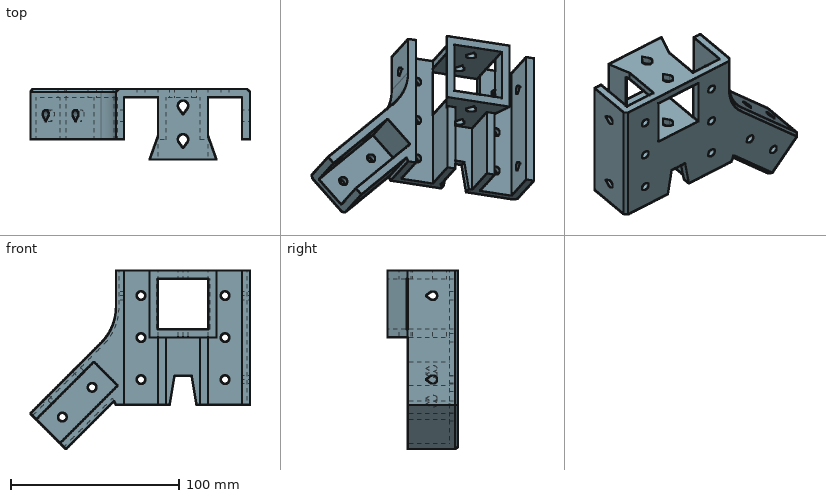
import cadquery as cq
import math

wall = 5.0
depth = 30.0
pitch = 25.0
screw_diameter = 5.0
back_chamfer = 1.8

block_width = 80.0
block_height = 80.0
half_block = block_width / 2

bore = 30.0
frame_size = bore + 2 * wall
half_frame = frame_size / 2
frame_bottom = block_height - frame_size
frame_depth = 42.0
flare_start = 28.0
window_depth = 30.6
frame_hole_diameter = 6.0
frame_hole_first = 10.0
frame_hole_pitch = 20.0

notch_top_width = 10.1
notch_bottom_width = 15.8
notch_height = 17.3

arm_width = 30.0
total_width = 130.9
arm_reach = total_width - half_block
blend_radius = 30.0
blend_start = 21.9
arm_angle = 45
arm_lower_length = 40.5
pocket_length = 48.6
arm_hole_first = 12.0
arm_side_hole_first = 13.0

side_hole_y = -depth / 2
side_hole_zs = (block_height - 15.0, 15.0)
tip_ratio = 1.7

diagonal = math.sqrt(0.5)
blend_center_x = -half_block - blend_radius
blend_z = block_height - blend_start


def blend_point(degrees):
    """Point on the concave blend, measured down from its vertical end."""
    angle = math.radians(degrees)
    return (
        blend_center_x + blend_radius * math.cos(angle),
        blend_z - blend_radius * math.sin(angle),
    )


blend_end = blend_point(arm_angle)
arm_tip = (-arm_reach, blend_end[1] - (blend_end[0] + arm_reach))


def arm_point(along, across):
    """XZ point measured up the arm and across it from its upper tip."""
    return (
        arm_tip[0] + (along + across) * diagonal,
        arm_tip[1] + (along - across) * diagonal,
    )


def xz_prism(points, length):
    """Extrude an XZ polygon from the back face toward -Y."""
    return cq.Workplane("XZ").polyline(points).close().extrude(length)


def box(x_min, x_max, y_min, y_max, z_min, z_max):
    size = (x_max - x_min, y_max - y_min, z_max - z_min)
    return cq.Workplane("XY").box(*size, centered=False).translate((x_min, y_min, z_min))


def teardrop(diameter, length):
    """Vertical hole cutter centred on the origin, pointed toward -Y."""
    radius = diameter / 2
    tip = tip_ratio * radius
    tangent_y = -radius / tip_ratio
    tangent_x = math.sqrt(radius ** 2 - tangent_y ** 2)
    return (
        cq.Workplane("XY", origin=(0, 0, -length / 2))
        .moveTo(-tangent_x, tangent_y)
        .threePointArc((0, radius), (tangent_x, tangent_y))
        .lineTo(0, -tip)
        .close()
        .extrude(length)
    )


def outer_body():
    """Solid silhouette with its long back edges chamfered."""
    body = (
        cq.Workplane("XZ")
        .moveTo(half_block, 0)
        .lineTo(half_block, block_height)
        .lineTo(-half_block, block_height)
        .lineTo(-half_block, blend_z)
        .threePointArc(blend_point(arm_angle / 2), blend_end)
        .lineTo(*arm_tip)
        .lineTo(*arm_point(0, arm_width))
        .lineTo(*arm_point(arm_lower_length, arm_width))
        .lineTo(-half_block, 0)
        .close()
        .extrude(depth)
    )
    edge_places = [
        (half_block, block_height / 2),
        (-half_block, (block_height + blend_z) / 2),
        blend_point(arm_angle / 2),
        arm_point(pocket_length / 2, 0),
        arm_point(arm_lower_length / 2, arm_width),
    ]
    edges = [
        body.edges(cq.selectors.NearestToPointSelector((x, 0, z))).val()
        for x, z in edge_places
    ]
    return body.newObject(edges).chamfer(back_chamfer)


def frame():
    """Block that flares outward at its free end."""
    neck = bore / 2
    flare = half_frame
    return (
        cq.Workplane("XY", origin=(0, 0, frame_bottom))
        .polyline([
            (-neck, 0), (neck, 0), (neck, -flare_start), (flare, -frame_depth),
            (-flare, -frame_depth), (-neck, -flare_start),
        ])
        .close()
        .extrude(frame_size)
    )


inner = half_block - wall
part = outer_body().cut(box(-inner, inner, -depth, -wall, 0, block_height))
pocket_corners = [
    arm_point(0, wall),
    arm_point(pocket_length, wall),
    arm_point(pocket_length, arm_width - wall),
    arm_point(0, arm_width - wall),
]
part = part.cut(xz_prism(pocket_corners, depth).translate((0, -wall, 0)))

for rib_x in (-bore / 2, bore / 2 - wall):
    part = part.union(box(rib_x, rib_x + wall, -depth, 0, 0, frame_bottom))

part = part.union(frame())
bore_bottom = frame_bottom + wall
part = part.cut(box(-bore / 2, bore / 2, -frame_depth, 0, bore_bottom, bore_bottom + bore))

part = part.cut(box(-half_frame, half_frame, -window_depth, -wall, bore_bottom, bore_bottom + bore))

part = part.cut(xz_prism([
    (-notch_bottom_width / 2, 0), (-notch_top_width / 2, notch_height),
    (notch_top_width / 2, notch_height), (notch_bottom_width / 2, 0),
], wall))

screw_places = [
    (side * pitch, block_height / 2 + row * pitch)
    for side in (-1, 1)
    for row in (-1, 0, 1)
]
screw_places += [arm_point(arm_hole_first + i * pitch, arm_width / 2) for i in range(2)]
part = part.cut(cq.Workplane("XZ").pushPoints(screw_places).circle(screw_diameter / 2).extrude(wall))

for i in range(2):
    hole_y = -frame_hole_first - i * frame_hole_pitch
    cutter = teardrop(frame_hole_diameter, frame_size)
    part = part.cut(cutter.translate((0, hole_y, frame_bottom + frame_size / 2)))

for side, hole_z in ((1, side_hole_zs[0]), (1, side_hole_zs[1]), (-1, side_hole_zs[0])):
    cutter = teardrop(screw_diameter, wall).rotate((0, 0, 0), (0, 1, 0), 90)
    part = part.cut(cutter.translate((side * (half_block - wall / 2), side_hole_y, hole_z)))

for i in range(2):
    hole_x, hole_z = arm_point(arm_side_hole_first + i * pitch, wall / 2)
    cutter = teardrop(screw_diameter, wall).rotate((0, 0, 0), (0, 1, 0), -arm_angle)
    part = part.cut(cutter.translate((hole_x, side_hole_y, hole_z)))

result = part